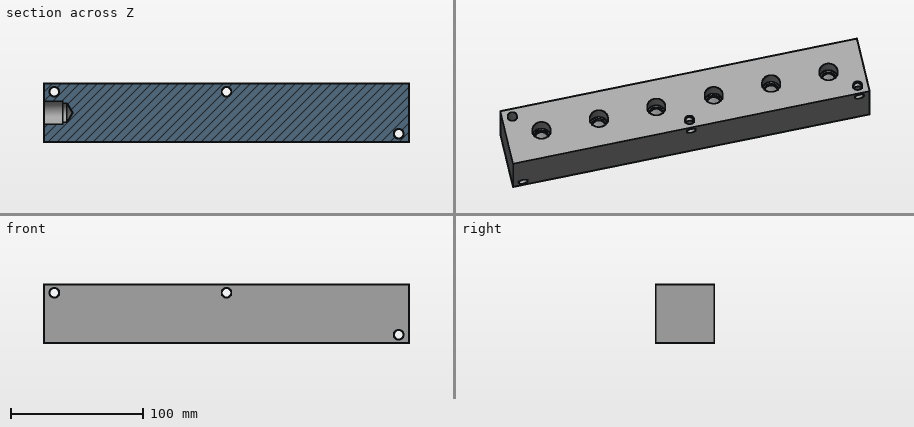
import cadquery as cq
import math

BAR_WIDTH = 44.45
BAR_LENGTH = 276.23

MOUNT_DIAMETER = 7.14
MOUNT_END_INSET = 7.94
MOUNT_EDGE_INSET = 6.35

PORT_COUNT = 6
PORT_PITCH = BAR_WIDTH
PORT_DIAMETER = 13.87
PORT_DEPTH = 12.7
PORT_PILOT_DIAMETER = 10.72
PORT_PILOT_DEPTH = 16.0

END_PORT_DIAMETER = 17.3
END_PORT_DEPTH = 14.3
END_PILOT_DIAMETER = 14.3
END_PILOT_DEPTH = 17.5

DRILL_POINT_ANGLE = 118.0

half_length = BAR_LENGTH / 2
half_width = BAR_WIDTH / 2
AXIS_X = cq.Vector(1, 0, 0)
AXIS_Y = cq.Vector(0, 1, 0)
DOWN = cq.Vector(0, 0, -1)


def make_port(mouth, direction, diameter, depth, pilot_diameter, pilot_depth):
    """Stepped blind hole with a conical drill point; depths are measured from the mouth."""
    pilot_radius = pilot_diameter / 2
    point_height = pilot_radius / math.tan(math.radians(DRILL_POINT_ANGLE / 2))
    counterbore = cq.Solid.makeCylinder(diameter / 2, depth, mouth, direction)
    pilot = cq.Solid.makeCylinder(pilot_radius, pilot_depth, mouth, direction)
    point_base = mouth + direction * pilot_depth
    drill_point = cq.Solid.makeCone(pilot_radius, 0, point_height, point_base, direction)
    return cq.Workplane(counterbore).union(cq.Workplane(pilot)).union(cq.Workplane(drill_point))


def cut_mounting_holes(body):
    """Two holes along one edge and one at the opposite corner, repeated in both directions."""
    x_end = half_length - MOUNT_END_INSET
    offset = half_width - MOUNT_EDGE_INSET
    for x, across in [(-x_end, offset), (0, offset), (x_end, -offset)]:
        top_mouth = cq.Vector(x, across, half_width)
        front_mouth = cq.Vector(x, -half_width, across)
        for mouth, direction in [(top_mouth, DOWN), (front_mouth, AXIS_Y)]:
            hole = cq.Solid.makeCylinder(MOUNT_DIAMETER / 2, BAR_WIDTH, mouth, direction)
            body = body.cut(cq.Workplane(hole))
    return body


def cut_top_ports(body):
    """Evenly spaced ports, centred along the bar."""
    for index in range(PORT_COUNT):
        x = (index - (PORT_COUNT - 1) / 2) * PORT_PITCH
        mouth = cq.Vector(x, 0, half_width)
        port = make_port(mouth, DOWN, PORT_DIAMETER, PORT_DEPTH, PORT_PILOT_DIAMETER, PORT_PILOT_DEPTH)
        body = body.cut(port)
    return body


def cut_end_port(body):
    """Port on the bar's long axis, entering from the -X end."""
    mouth = cq.Vector(-half_length, 0, 0)
    port = make_port(
        mouth, AXIS_X, END_PORT_DIAMETER, END_PORT_DEPTH, END_PILOT_DIAMETER, END_PILOT_DEPTH
    )
    return body.cut(port)


result = cq.Workplane("XY").box(BAR_LENGTH, BAR_WIDTH, BAR_WIDTH)
result = cut_mounting_holes(result)
result = cut_top_ports(result)
result = cut_end_port(result)